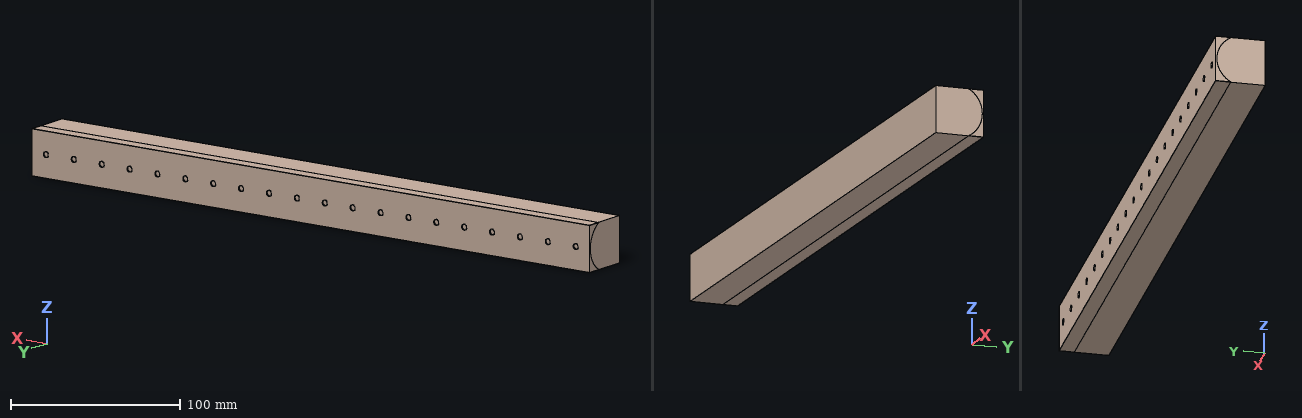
import cadquery as cq
import math

overall_length = 408.0
bar_depth = 30.0
bar_height = 29.0
tilt_angle = 1.4
tilt = math.radians(tilt_angle)
bar_length = (overall_length - bar_depth * math.sin(tilt)) / math.cos(tilt)

back_y = bar_depth / 2
start_x = -bar_length / 2

lip_thickness = 0.2
insert_top_z = bar_height / 2 - lip_thickness

core_radius = 16.5
wall_thickness = 1.0
crown_y = back_y - wall_thickness
round_center_y = crown_y - core_radius
round_start_y = round_center_y + math.sqrt(core_radius**2 - insert_top_z**2)
insert_depth = back_y - round_start_y

hole_diameter = 3.6
hole_count = 20
hole_pitch = bar_length / hole_count


def turned(body):
    """Turn a body from the X axis to its final direction."""
    return body.rotate((0, 0, 0), (0, 0, 1), tilt_angle)


def make_insert_blank():
    """Flat-backed strip, hollowed along its front to fit the round of the core."""
    return (
        cq.Workplane("YZ", origin=(start_x, 0, 0))
        .moveTo(round_start_y, -insert_top_z)
        .lineTo(back_y, -insert_top_z)
        .lineTo(back_y, insert_top_z)
        .lineTo(round_start_y, insert_top_z)
        .threePointArc((crown_y, 0), (round_start_y, -insert_top_z))
        .close()
        .extrude(bar_length)
    )


def make_hole_row():
    """Cutters for the holes, evenly spaced along the back of the insert."""
    return (
        cq.Workplane("XZ", origin=(0, back_y, 0))
        .rarray(hole_pitch, 4, hole_count, 1)
        .circle(hole_diameter / 2)
        .extrude(insert_depth)
    )


def make_core():
    """Bar with a rounded back and two lips that hold the insert."""
    return cq.Workplane("XY").box(bar_length, bar_depth, bar_height).cut(make_insert_blank())


def make_insert():
    """Strip behind the core with its row of holes."""
    return make_insert_blank().cut(make_hole_row())


core = turned(make_core())
insert = turned(make_insert())
result = cq.Compound.makeCompound([core.val(), insert.val()])